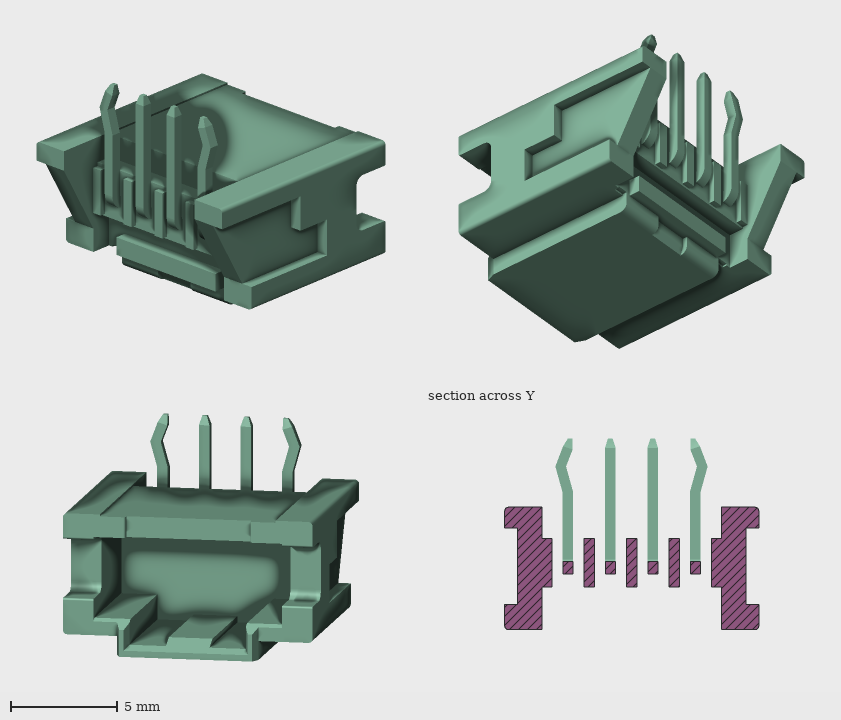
import cadquery as cq


width = 12.0
half_width = width / 2
body_back = 11.25
height = 5.8
edge_radius = 0.2

cheek_inner_x = 4.22
lower_cheek_front = 2.03
recess_depth = 0.6
recess_low_z = 1.2
recess_step_z = 3.04
recess_high_z = 4.8
recess_low_back = 7.22
recess_high_back = 5.4

notch_depth = 2.0
notch_low_z = 1.73
notch_high_z = 4.56
notch_inner_radius = 0.45
notch_entry_radius = 0.1

roof_top = 5.7
roof_front = 3.17
wall_front = 2.32
wall_low_z = 1.9
wall_high_z = 4.51
base_front = 3.11
roof_notch_width = 6.0
roof_notch_depth = 0.3
roof_notch_radius = 0.1

cavity_front = 4.5
cavity_half_width = 4.54
cavity_ceiling = 4.7
lead_in_length = 0.25

tongue_width = 6.8
tongue_bottom = -0.9
tongue_radius = 0.4
lip_end = 11.75
lip_end_width = 6.4
lip_end_top = 0.4
lip_root_top = 0.66
lip_slope = (lip_root_top - lip_end_top) / (lip_end - body_back)
cavity_floor = lip_root_top + lip_slope * lead_in_length
keyway_half_width = 2.8
keyway_mouth_half_width = 2.98
keyway_floor = -0.4
keyway_mouth_floor = -0.6
ramp_width = 2.1
ramp_length = 0.72
relief_depth = 0.24
relief_chamfer_height = 0.45
relief_chamfer_depth = 0.15

bar_width = 6.4
bar_height = 0.9
bar_front = 2.52
pocket_outer_x = 4.0
pocket_height = 0.1
pocket_length = 0.24

pitch = width / 6
pin_count = 4
pin_size = 0.5
pin_front = 1.78
pin_bottom = 2.58
pin_top = 9.0
pin_shoulder = 8.57
pin_tip_size = 0.23
pin_bend_radius = 0.75
pin_root_back = 3.6
kink_start_z = 6.48
kink_apex_z = 7.69
kink_offset = 0.34
kink_shoulder_tilt = 0.07
kink_tip_shift = 0.11
kink_tip_inset = 0.02
rib_front = 2.02
rib_low_z = 2.0
rib_high_z = 4.32

select_margin = 0.01


def box(x0, x1, y0, y1, z0, z1):
    """Box between opposite corners."""
    return cq.Workplane("XY").box(x1 - x0, y1 - y0, z1 - z0, centered=False).translate((x0, y0, z0))


def side_prism(points, x0, x1):
    """Closed (Y, Z) outline extruded from x0 to x1."""
    return cq.Workplane("YZ").workplane(offset=x0).polyline(points).close().extrude(x1 - x0)


def ruled_loft(lower, upper):
    """Straight-sided solid joining two closed outlines."""
    outlines = [cq.Wire.makePolygon([cq.Vector(*p) for p in pts], close=True) for pts in (lower, upper)]
    return cq.Workplane(obj=cq.Solid.makeLoft(outlines, True))


def make_side_walls():
    """Both side walls, with slanted cheek fronts and stepped outer recesses."""
    outline = [
        (0, height), (0, recess_high_z), (lower_cheek_front, recess_low_z),
        (lower_cheek_front, 0), (body_back, 0), (body_back, height),
    ]
    wall = side_prism(outline, -half_width, -cheek_inner_x)
    wall = wall.edges("|Y and <X").fillet(edge_radius)
    recess_floor = recess_depth - half_width
    wall = wall.cut(box(-half_width, recess_floor, 0, recess_low_back, recess_low_z, recess_step_z))
    wall = wall.cut(box(-half_width, recess_floor, 0, recess_high_back, recess_step_z, recess_high_z))
    return wall.union(wall.mirror("YZ"))


def make_middle_block():
    """Solid block between the side walls, stepped at the front and notched at the roof edge."""
    outline = [
        (base_front, 0), (base_front, wall_low_z), (wall_front, wall_low_z),
        (wall_front, wall_high_z), (roof_front, wall_high_z), (roof_front, roof_top),
        (body_back, roof_top), (body_back, 0),
    ]
    block = side_prism(outline, -cheek_inner_x, cheek_inner_x)
    half_notch = roof_notch_width / 2
    notch_front = body_back - roof_notch_depth
    block = block.cut(box(-half_notch, half_notch, notch_front, body_back, cavity_floor, roof_top))
    rim = cq.selectors.BoxSelector(
        (-half_notch - select_margin, body_back - select_margin, cavity_floor - select_margin),
        (half_notch + select_margin, body_back + select_margin, roof_top + select_margin),
    )
    return block.edges(rim).edges("|Z").fillet(roof_notch_radius)


def make_tongue():
    """Tongue below the housing with its tapered lip and the relief in its front face."""
    half_tongue = tongue_width / 2
    half_lip = lip_end_width / 2
    tongue = box(-half_tongue, half_tongue, base_front, body_back, tongue_bottom, cavity_floor)
    tongue = tongue.edges("|X and <Y and <Z").fillet(tongue_radius)

    lip_plan = [
        (-half_tongue, body_back), (half_tongue, body_back), (half_lip, lip_end), (-half_lip, lip_end),
    ]
    lip = cq.Workplane("XY").workplane(offset=tongue_bottom).polyline(lip_plan).close()
    lip = lip.extrude(lip_root_top - tongue_bottom)
    lip_wedge = [(body_back, lip_root_top), (lip_end, lip_root_top), (lip_end, lip_end_top)]
    tongue = tongue.union(lip.cut(side_prism(lip_wedge, -half_tongue, half_tongue)))

    relief_back = base_front + relief_depth
    relief_outline = [
        (base_front, 0), (relief_back, 0), (relief_back, tongue_bottom + relief_chamfer_height),
        (relief_back + relief_chamfer_depth, tongue_bottom), (base_front, tongue_bottom),
    ]
    return tongue.cut(side_prism(relief_outline, -ramp_width / 2, ramp_width / 2))


def make_cavity():
    """Mating space: main cavity with a sloped lead-in, plus the keyway with its flared mouth."""
    lead_in_start = body_back - lead_in_length
    cavity_outline = [
        (cavity_front, cavity_floor), (lead_in_start, cavity_floor), (body_back, lip_root_top),
        (body_back, cavity_ceiling), (cavity_front, cavity_ceiling),
    ]
    cavity = side_prism(cavity_outline, -cavity_half_width, cavity_half_width)
    keyway = box(-keyway_half_width, keyway_half_width, cavity_front, body_back, keyway_floor, cavity_ceiling)

    def section(y, half, floor):
        return [(-half, y, floor), (half, y, floor), (half, y, cavity_floor), (-half, y, cavity_floor)]

    mouth = ruled_loft(
        section(body_back, keyway_half_width, keyway_floor),
        section(lip_end, keyway_mouth_half_width, keyway_mouth_floor),
    )
    return cavity.union(keyway).union(mouth)


def make_ramp():
    """Ramp on the keyway floor, carrying on the slope of the flared mouth."""
    slope = (keyway_floor - keyway_mouth_floor) / (lip_end - body_back)
    ramp_top = keyway_floor + slope * ramp_length
    ramp_crest = body_back - ramp_length
    outline = [
        (cavity_front, keyway_floor), (cavity_front, ramp_top),
        (ramp_crest, ramp_top), (body_back, keyway_floor),
    ]
    return side_prism(outline, -ramp_width / 2, ramp_width / 2)


def make_side_notches():
    """Round-cornered cutter for the notches at the back of both side walls."""
    inner_y = body_back - notch_depth
    notch = box(-half_width, half_width, inner_y, body_back, notch_low_z, notch_high_z)
    return notch.edges("|X and <Y").fillet(notch_inner_radius)


def make_ribs():
    """Ribs between the pins; the outermost two merge into the cheeks."""
    ribs = cq.Workplane("XY")
    for index in range(pin_count + 1):
        x = (index - pin_count / 2) * pitch
        half = pin_size / 2
        ribs = ribs.union(box(x - half, x + half, rib_front, wall_front, rib_low_z, rib_high_z))
    return ribs


def make_pin_foot(x, top):
    """Vertical pin stem with a rounded bend into the wall."""
    back = pin_front + pin_size
    return (
        cq.Workplane("YZ").workplane(offset=x - pin_size / 2)
        .moveTo(pin_front, top)
        .lineTo(pin_front, pin_bottom + pin_bend_radius)
        .radiusArc((pin_front + pin_bend_radius, pin_bottom), -pin_bend_radius)
        .lineTo(pin_root_back, pin_bottom)
        .lineTo(pin_root_back, pin_bottom + pin_size)
        .lineTo(pin_front + pin_bend_radius, pin_bottom + pin_size)
        .radiusArc((back, pin_bottom + pin_bend_radius), pin_bend_radius - pin_size)
        .lineTo(back, top)
        .close()
        .extrude(pin_size)
    )


def make_tip(left, right, tip_x):
    """Pointed pin end rising from a shoulder given by its left and right (X, Z) points."""
    back = pin_front + pin_size
    half = pin_tip_size / 2
    middle = pin_front + pin_size / 2
    shoulder = [
        (left[0], pin_front, left[1]), (right[0], pin_front, right[1]),
        (right[0], back, right[1]), (left[0], back, left[1]),
    ]
    tip = [
        (tip_x - half, middle - half, pin_top), (tip_x + half, middle - half, pin_top),
        (tip_x + half, middle + half, pin_top), (tip_x - half, middle + half, pin_top),
    ]
    return ruled_loft(shoulder, tip)


def make_straight_pin(x):
    """Upright pin with a pointed end."""
    half = pin_size / 2
    tip = make_tip((x - half, pin_shoulder), (x + half, pin_shoulder), x)
    return make_pin_foot(x, pin_shoulder).union(tip)


def make_kinked_pin(x):
    """Left-hand retention pin that bows outward and returns to its line at the tip."""
    half = pin_size / 2
    left = (x - half + kink_tip_inset, pin_shoulder + kink_shoulder_tilt)
    right = (x + half - kink_tip_inset, pin_shoulder - kink_shoulder_tilt)
    outline = [
        (x - half, kink_start_z), (x + half, kink_start_z), (x + half - kink_offset, kink_apex_z),
        right, left, (x - half - kink_offset, kink_apex_z),
    ]
    bow = cq.Workplane("XZ").polyline(outline).close().extrude(-pin_size).translate((0, pin_front, 0))
    tip = make_tip(left, right, x + kink_tip_shift)
    return make_pin_foot(x, kink_start_z).union(bow).union(tip)


def make_bar():
    """Bar across the front, flush with the housing underside."""
    return box(-bar_width / 2, bar_width / 2, bar_front, base_front, 0, bar_height)


def make_underside_pockets():
    """Cutter for the two shallow pockets in the front edge of the underside."""
    pocket = box(tongue_width / 2, pocket_outer_x, base_front, base_front + pocket_length, 0, pocket_height)
    return pocket.union(pocket.mirror("YZ"))


housing = make_side_walls().union(make_middle_block()).union(make_tongue())
housing = housing.cut(make_cavity()).union(make_ramp()).cut(make_side_notches())
notch_lips = cq.selectors.BoxSelector(
    (-half_width - select_margin, body_back - select_margin, notch_low_z - select_margin),
    (half_width + select_margin, body_back + select_margin, notch_high_z + select_margin),
)
housing = housing.edges("|X").edges(notch_lips).fillet(notch_entry_radius)
housing = housing.cut(make_underside_pockets()).union(make_bar()).union(make_ribs())

outer_pin_x = (pin_count - 1) / 2 * pitch
kinked_pin = make_kinked_pin(-outer_pin_x)
pins = kinked_pin.union(kinked_pin.mirror("YZ"))
for index in range(1, pin_count - 1):
    pins = pins.union(make_straight_pin(index * pitch - outer_pin_x))

result = housing.union(pins)